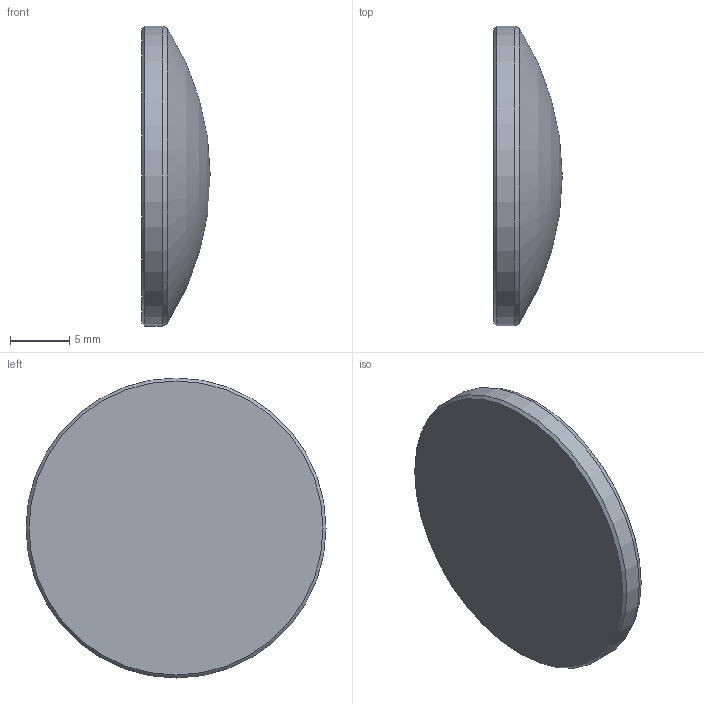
import cadquery as cq
import math

diameter = 25.4
center_thickness = 5.8
convex_radius = 23.26
flat_bevel = 0.25
convex_bevel_radial = 0.2
convex_bevel_axial = 0.43

rim_radius = diameter / 2
convex_edge_radius = rim_radius - convex_bevel_radial
sphere_center_x = center_thickness - convex_radius


def convex_face_x(radius):
    """X position of the convex face at a given distance from the axis."""
    return sphere_center_x + math.sqrt(convex_radius**2 - radius**2)


def lens_half_profile():
    """Half section in the XZ plane, from the axis out to the rim."""
    convex_edge_x = convex_face_x(convex_edge_radius)
    arc_mid_radius = convex_edge_radius / 2
    return (
        cq.Workplane("XZ")
        .moveTo(0, 0)
        .lineTo(0, rim_radius - flat_bevel)
        .lineTo(flat_bevel, rim_radius)
        .lineTo(convex_edge_x - convex_bevel_axial, rim_radius)
        .lineTo(convex_edge_x, convex_edge_radius)
        .threePointArc((convex_face_x(arc_mid_radius), arc_mid_radius), (center_thickness, 0))
        .close()
    )


result = lens_half_profile().revolve(360, (0, 0, 0), (1, 0, 0))